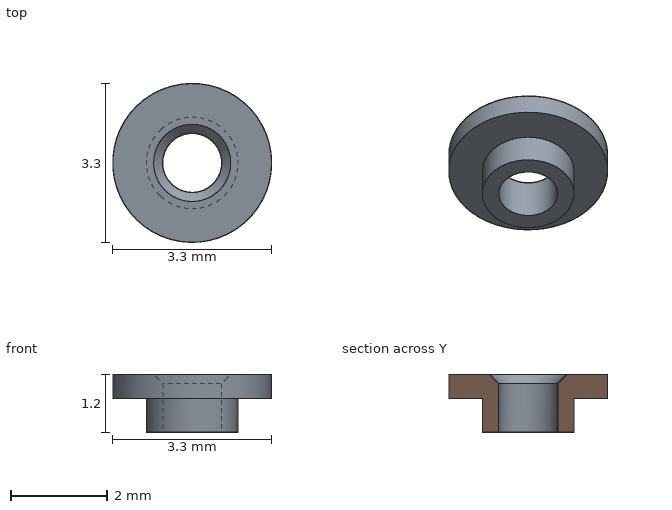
import cadquery as cq

flange_diameter = 3.3
flange_thickness = 0.5
total_height = 1.2
sleeve_diameter = 1.9
bore_diameter = 1.22
countersink_diameter = 1.6
countersink_angle = 90.0

sleeve_length = total_height - flange_thickness

sleeve = cq.Workplane("XY").circle(sleeve_diameter / 2).extrude(sleeve_length)
body = sleeve.faces(">Z").workplane().circle(flange_diameter / 2).extrude(flange_thickness)

result = body.faces(">Z").workplane().cskHole(bore_diameter, countersink_diameter, countersink_angle)